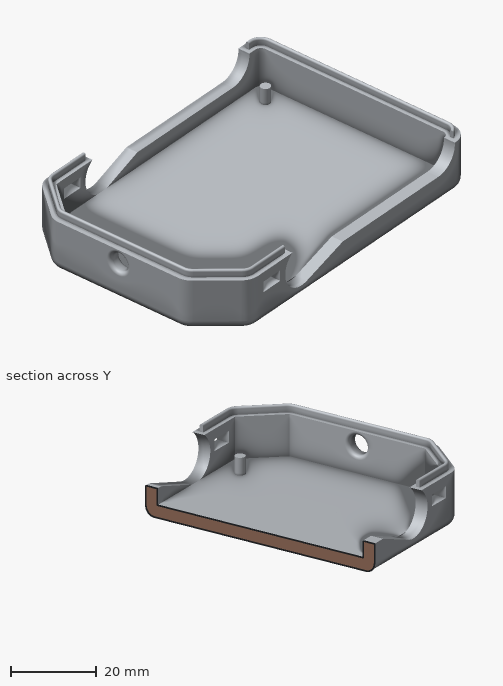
import cadquery as cq
import math

length = 90.0
width = 64.0
height = 16.0
lip_height = 2.0
rim_z = height - lip_height
floor_thickness = 3.3
corner_radius = 5.0
bottom_radius = 2.5

corner_cut_x = 12.0
corner_cut_y = 10.2

side_wall = 3.3
end_wall = 3.6
cavity_corner_radius = 1.7
lip_side_inset = 1.3
lip_end_inset = 1.5
lip_corner_radius = 3.6
lip_width = 1.0
lip_setback = 1.2

opening_flat_z = 7.6
opening_radius = 6.0
scoop_y = -16.5
scoop_z = 9.1
left_opening_end_y = 37.5
left_slope_start_y = -3.5
right_opening_shift = 2.1

window_length = 6.0
window_height = 3.0
window_y = -27.4
window_z = 9.9

light_hole_diameter = 5.0
light_hole_mouth_radius = 1.0
light_hole_z = 10.35

pin_diameter = 2.7
pin_height = 4.5
pin_points = [(-23.0, 36.6), (22.95, -26.5)]


def plan_points(side_inset, end_inset):
    """Corners of the six-sided plan outline, moved inwards from the outer faces."""
    half_x = width / 2 - side_inset
    half_y = length / 2 - end_inset
    cut_inset = (side_inset + end_inset) / 2
    cut_length = math.hypot(corner_cut_x, corner_cut_y)
    edge_level = (corner_cut_y * width / 2
                  + corner_cut_x * (length / 2 - corner_cut_y)
                  - cut_inset * cut_length)
    cut_top_y = (corner_cut_y * half_x - edge_level) / corner_cut_x
    cut_bottom_x = (edge_level - corner_cut_x * half_y) / corner_cut_y
    return [
        (-half_x, half_y),
        (half_x, half_y),
        (half_x, cut_top_y),
        (cut_bottom_x, -half_y),
        (-cut_bottom_x, -half_y),
        (-half_x, cut_top_y),
    ]


def plan_prism(side_inset, end_inset, bottom_z, top_z):
    outline = cq.Workplane("XY").workplane(offset=bottom_z).polyline(plan_points(side_inset, end_inset))
    return outline.close().extrude(top_z - bottom_z)


def make_shell():
    outside = plan_prism(0, 0, 0, rim_z).edges("|Z").fillet(corner_radius)
    outside = outside.faces("<Z").edges().fillet(bottom_radius)
    cavity = plan_prism(side_wall, end_wall, floor_thickness, height)
    cavity = cavity.edges("|Z and >Y").fillet(cavity_corner_radius)
    return outside.cut(cavity)


def make_lip():
    """Thin lip with a fully rounded top, swept around the middle line of its width."""
    half_lip = lip_width / 2
    path_prism = plan_prism(lip_side_inset + half_lip, lip_end_inset + half_lip, rim_z, height)
    path = path_prism.edges("|Z").fillet(lip_corner_radius - half_lip).faces("<Z").wires()
    middle_y = length / 2 - lip_end_inset - half_lip
    section = (
        cq.Workplane("YZ")
        .moveTo(middle_y - half_lip, rim_z)
        .lineTo(middle_y + half_lip, rim_z)
        .lineTo(middle_y + half_lip, height - half_lip)
        .threePointArc((middle_y, height), (middle_y - half_lip, height - half_lip))
        .close()
    )
    return section.sweep(path)


def side_opening(end_y, slope_start_y):
    """Cutter for the +X wall: quarter round, flat, slope, then a round scoop."""
    round_y = end_y - opening_radius
    round_z = opening_flat_z + opening_radius
    diagonal = opening_radius * math.sqrt(0.5)

    to_scoop_y = scoop_y - slope_start_y
    to_scoop_z = scoop_z - opening_flat_z
    scoop_distance = math.hypot(to_scoop_y, to_scoop_z)
    tangent_length = math.sqrt(scoop_distance**2 - opening_radius**2)
    slope_angle = math.atan2(to_scoop_z, to_scoop_y) + math.atan2(opening_radius, tangent_length)
    tangent_y = slope_start_y + tangent_length * math.cos(slope_angle)
    tangent_z = opening_flat_z + tangent_length * math.sin(slope_angle)

    scoop_top_y = scoop_y - math.sqrt(opening_radius**2 - (rim_z - scoop_z)**2)
    profile = (
        cq.Workplane("YZ")
        .workplane(offset=width / 2 - side_wall)
        .moveTo(end_y, rim_z)
        .lineTo(end_y, round_z)
        .threePointArc((round_y + diagonal, round_z - diagonal), (round_y, opening_flat_z))
        .lineTo(slope_start_y, opening_flat_z)
        .lineTo(tangent_y, tangent_z)
        .threePointArc((scoop_y - opening_radius, scoop_z), (scoop_top_y, rim_z))
        .close()
    )
    cutter = profile.extrude(2 * side_wall)

    gap_start_y = scoop_top_y - lip_setback
    gap_length = end_y + lip_setback - gap_start_y
    lip_gap = cq.Workplane("XY").box(width, gap_length, lip_height, centered=False)
    return cutter.union(lip_gap.translate((0, gap_start_y, rim_z)))


def make_windows():
    windows = cq.Workplane("XY").box(2 * width, window_length, window_height)
    return windows.translate((0, window_y, window_z))


def make_light_hole():
    """Round hole through the -Y wall, flaring out in a quarter-round at both mouths."""
    hole_radius = light_hole_diameter / 2
    mouth_radius = hole_radius + light_hole_mouth_radius
    diagonal = light_hole_mouth_radius * math.sqrt(0.5)
    profile = (
        cq.Workplane("XY")
        .lineTo(mouth_radius, 0)
        .threePointArc(
            (mouth_radius - diagonal, light_hole_mouth_radius - diagonal),
            (hole_radius, light_hole_mouth_radius),
        )
        .lineTo(hole_radius, end_wall - light_hole_mouth_radius)
        .threePointArc(
            (mouth_radius - diagonal, end_wall - light_hole_mouth_radius + diagonal),
            (mouth_radius, end_wall),
        )
        .lineTo(0, end_wall)
        .close()
    )
    cutter = profile.revolve(360, (0, 0), (0, 1))
    return cutter.translate((0, -length / 2, light_hole_z))


def make_pins():
    floor = cq.Workplane("XY").workplane(offset=floor_thickness)
    return floor.pushPoints(pin_points).circle(pin_diameter / 2).extrude(pin_height)


left_opening = side_opening(left_opening_end_y, left_slope_start_y).mirror("YZ")
right_opening = side_opening(
    left_opening_end_y + right_opening_shift,
    left_slope_start_y + right_opening_shift,
)

case = make_shell().union(make_lip())
case = case.cut(left_opening).cut(right_opening)
case = case.cut(make_windows()).cut(make_light_hole())
result = case.union(make_pins())